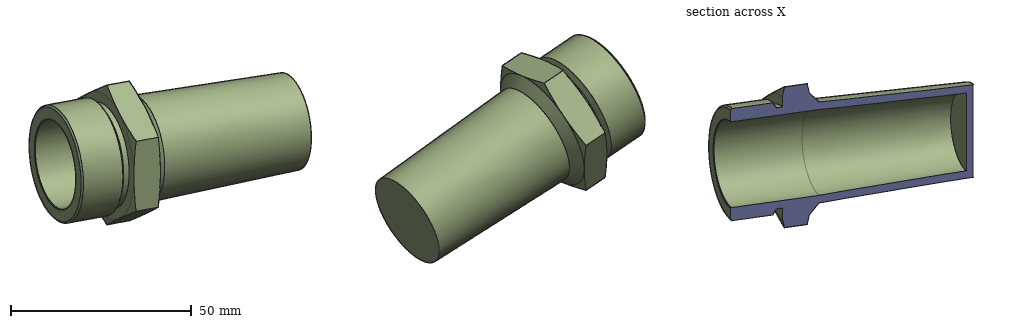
import cadquery as cq
import math

total_length = 72.5
collar_end = 12.7
neck_start = 13.8
hex_start = 15.45
hex_end = 23.6
tail_start = 26.45

collar_diameter = 33.3
neck_diameter = 30.0
tail_end_diameter = 27.5
hex_across_flats = 36.0
hex_across_corners = hex_across_flats / math.cos(math.pi / 6)
hex_corner_drop = 0.65
collar_chamfer = 0.5

bore_diameter = 25.2
bore_floor_diameter = 22.85
end_wall = 2.2
mouth_chamfer = 0.2


def revolve_profile(points):
    """Revolve (radius, distance along Y) points about the Y axis."""
    return (
        cq.Workplane("XY")
        .polyline(points)
        .close()
        .revolve(360, (0, 0, 0), (0, 1, 0))
    )


def make_body():
    collar_radius = collar_diameter / 2
    neck_radius = neck_diameter / 2
    return revolve_profile([
        (0, 0),
        (collar_radius - collar_chamfer, 0),
        (collar_radius, collar_chamfer),
        (collar_radius, collar_end),
        (neck_radius, neck_start),
        (neck_radius, hex_start),
        (hex_across_flats / 2, hex_start),
        (hex_across_flats / 2, hex_end),
        (neck_radius, tail_start),
        (tail_end_diameter / 2, total_length),
        (0, total_length),
    ])


def make_hexagon():
    prism = (
        cq.Workplane("XZ", origin=(0, hex_start, 0))
        .polygon(6, hex_across_corners)
        .extrude(hex_start - hex_end)
        .rotate((0, 0, 0), (0, 1, 0), 30)
    )
    flat_radius = hex_across_flats / 2
    corner_radius = hex_across_corners / 2
    corner_envelope = revolve_profile([
        (0, hex_start),
        (flat_radius, hex_start),
        (corner_radius, hex_start + hex_corner_drop),
        (corner_radius, hex_end - hex_corner_drop),
        (flat_radius, hex_end),
        (0, hex_end),
    ])
    return prism.intersect(corner_envelope)


def make_bore():
    bore_radius = bore_diameter / 2
    floor_depth = total_length - end_wall
    return revolve_profile([
        (0, 0),
        (bore_radius + mouth_chamfer, 0),
        (bore_radius, mouth_chamfer),
        (bore_radius, tail_start),
        (bore_floor_diameter / 2, floor_depth),
        (0, floor_depth),
    ])


result = make_body().union(make_hexagon()).cut(make_bore())